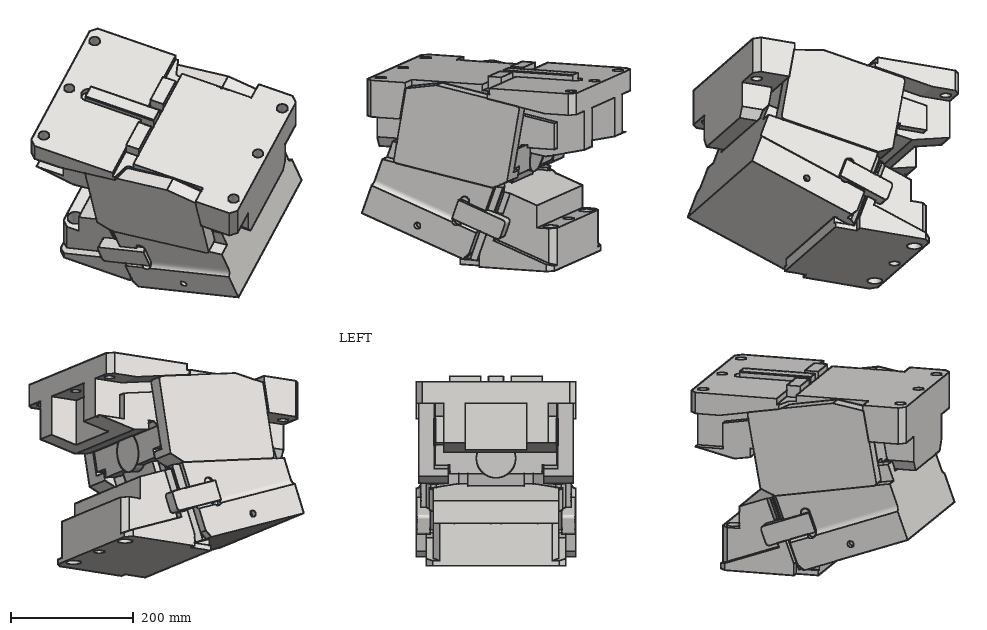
import cadquery as cq
import math

WIDTH = 260.0
HALF_WIDTH = WIDTH / 2
TOP_Z = 300.0
KEY_TOP_Z = 309.0
TIP_X, TIP_Z = 372, 79.0
RAIL_X, RAIL_Z = 117.5, 145.5
RAIL_ANGLE = 10
BASE_ANGLE = 20
REACH = 446.5
OVERLAP = 3.7


def tilt_planes(angle, x, z):
    """Side plane (normal -Y), plan plane (normal up) and end plane (normal along the tilt)."""
    c = math.cos(math.radians(angle))
    s = math.sin(math.radians(angle))
    side = cq.Plane(origin=(x, 0, z), xDir=(c, 0, s), normal=(0, -1, 0))
    plan = cq.Plane(origin=(x, 0, z), xDir=(c, 0, s), normal=(-s, 0, c))
    end = cq.Plane(origin=(x, 0, z), xDir=(0, 1, 0), normal=(c, 0, s))
    return side, plan, end


RAIL_SIDE, _, RAIL_END = tilt_planes(RAIL_ANGLE, RAIL_X, RAIL_Z)
BASE_SIDE, BASE_PLAN, BASE_END = tilt_planes(BASE_ANGLE, TIP_X, TIP_Z)


def slab(plane, points, half_width):
    """Side outline extruded evenly to both sides of the middle plane."""
    return cq.Workplane(plane).polyline(points).close().extrude(half_width, both=True)


def tilted_box(plane, a0, a1, b0, b1, half_width):
    return slab(plane, [(a0, b0), (a1, b0), (a1, b1), (a0, b1)], half_width)


def box(x0, x1, y0, y1, z0, z1):
    return cq.Workplane("XY").box(x1 - x0, y1 - y0, z1 - z0, centered=False).translate((x0, y0, z0))


def both_sides(solid):
    return solid.union(solid.mirror("XZ"))


def side_pair(solid, inner):
    """Keep only the parts of a slab that lie further out than inner."""
    return solid.cut(cq.Workplane("XY").box(3 * REACH, 2 * inner, 3 * REACH))


def on_side(plane, a, b):
    """X and Z of a point given in a tilted side plane."""
    p = plane.toWorldCoords((a, b))
    return (p.x, p.z)


def on_rail_face(along, z):
    """X and Z of the point at height z on a face square to the rail."""
    angle = math.radians(RAIL_ANGLE)
    height = (z - RAIL_Z - along * math.sin(angle)) / math.cos(angle)
    return on_side(RAIL_SIDE, along, height)


PLATE_FRONT, PLATE_REAR = 2.0, 201
PLATE_TOP, PLATE_BOTTOM = 128.7, -15.3
PLATE_INNER, PLATE_OUTER = 101.0, 126.0
PLATE_PEAK = 150.3
PLATE_REAR_TOP = 111.0
PLATE_TOE = 25.0
PLATE_GAP = 0.5
HOOK_TOP = 12.5
HOOK_INNER = 78
HEAD_HALF, HEAD_BOTTOM, HEAD_TOP = 98.5, 18.2, 108.5
WEB_HALF, WEB_BOTTOM = 75.0, 4.0
NECK_HALF = 85.2
RAIL_FRONT, RAIL_REAR = 3.0, 199.0
SPRING_RADIUS, SPRING_HEIGHT = 32.0, 29.5
SPRING_PROUD = 0.7

HOLDER_LENGTH = 366.0
CORNER = 10.0
FLANGE_FRONT_Z = 264.5
FLANGE_REAR_Z = 239.2
LEG_DEPTH = 47.3
LEG_FRONT_Z = 200.0
LIP_X, LIP_Z = 67, 185.0
LIP_REAR_X, LIP_REAR_Z = 94.0, 189.5
STEP_X, STEP_Z = 104, 204.3
STEP_CHAMFER_Z = 197.2
POCKET_HALF = 50.2
NOTCH_FRONT_X, NOTCH_REAR_X = 152.5, 295.8
NOTCH_INNER = 100.0
NOTCH_TAPER_X = 162.0
NOTCH_FILLET = 6.7
REAR_BLOCK_FRONT = 208.7
REAR_BLOCK_Z = 180.0
REAR_BLOCK_HALF = 76.5
REAR_BLOCK_CHAMFER_Z, REAR_BLOCK_CHAMFER_Y = 16.7, 9.5
KEYWAY_X0, KEYWAY_X1, KEYWAY_Z = 148.5, 172.5, 290.0
KEY_GAP = 0.7
KEY_Y0, KEY_Y1 = 24.5, 75.5
BAR_X0, BAR_X1, BAR_HALF = 49.0, 170.8, 12.3
BAR_CHAMFER = 1.5
SLOT_X0 = 37.5
BOLT_DIAMETER, DOWEL_DIAMETER = 17.5, 16.7
FRONT_BOLT_X, FRONT_BOLT_Y = 15.5, 104.5
REAR_BOLT_X, REAR_BOLT_Y = 350.5, 100.0


def holder_core():
    """Legs, neck and rail, from the front face to the rear end of the rail."""
    rail_outline = [
        (0, TOP_Z),
        (0, LEG_FRONT_Z),
        (LIP_X, LIP_Z),
        (LIP_REAR_X, LIP_REAR_Z),
        (LIP_REAR_X, STEP_Z),
        (STEP_X, STEP_Z),
        on_rail_face(RAIL_FRONT, STEP_CHAMFER_Z),
        on_side(RAIL_SIDE, RAIL_FRONT, HEAD_BOTTOM),
        on_side(RAIL_SIDE, RAIL_REAR, HEAD_BOTTOM),
        on_side(RAIL_SIDE, RAIL_REAR, PLATE_REAR_TOP),
        (NOTCH_REAR_X, TOP_Z),
    ]
    core = slab("XZ", rail_outline, HEAD_HALF)
    above_head = tilted_box(RAIL_SIDE, -REACH, REACH, HEAD_TOP, REACH, REACH)
    beside_leg = box(-OVERLAP, LEG_DEPTH, -REACH, REACH, LEG_FRONT_Z, REACH)
    core = core.cut(side_pair(above_head, NECK_HALF)).cut(side_pair(beside_leg, NECK_HALF))
    core = core.cut(box(-OVERLAP, LIP_REAR_X, NECK_HALF, REACH, 0, LEG_FRONT_Z))
    core = core.cut(box(-OVERLAP, LEG_DEPTH, -POCKET_HALF, POCKET_HALF, 0, FLANGE_FRONT_Z))
    web = tilted_box(RAIL_SIDE, RAIL_FRONT, RAIL_REAR, WEB_BOTTOM, HEAD_BOTTOM + OVERLAP, WEB_HALF)
    return core.union(web).union(spring_barrel(RAIL_FRONT - SPRING_PROUD))


def spring_barrel(front):
    """Cylinder along the rail, bulging out below the web."""
    return (
        cq.Workplane(RAIL_END)
        .workplane(offset=front)
        .center(0, SPRING_HEIGHT)
        .circle(SPRING_RADIUS)
        .extrude(RAIL_REAR - front)
    )


def holder_flange():
    """Mounting plate across the full width."""
    rise = math.tan(math.radians(RAIL_ANGLE))
    crest_x, crest_z = on_side(RAIL_SIDE, PLATE_PEAK, PLATE_TOP)
    bend_x = crest_x - (crest_z - FLANGE_FRONT_Z) / rise
    outline = [
        (0, TOP_Z),
        (0, FLANGE_FRONT_Z),
        (bend_x, FLANGE_FRONT_Z),
        (crest_x, crest_z),
        on_side(RAIL_SIDE, PLATE_REAR + PLATE_GAP, PLATE_REAR_TOP),
        on_rail_face(PLATE_REAR + PLATE_GAP, FLANGE_REAR_Z),
        (HOLDER_LENGTH, FLANGE_REAR_Z),
        (HOLDER_LENGTH, TOP_Z),
    ]
    flange = slab("XZ", outline, HALF_WIDTH).edges("|Z and (<X or >X)").chamfer(CORNER)
    middle = box(NOTCH_FRONT_X, NOTCH_REAR_X, -HEAD_HALF, HEAD_HALF, FLANGE_FRONT_Z, TOP_Z)
    return flange.union(middle)


def side_notch():
    """Opening in the flange that clears a side plate of the slide."""
    outline = [
        (NOTCH_FRONT_X, -HALF_WIDTH),
        (NOTCH_TAPER_X, -NOTCH_INNER),
        (NOTCH_REAR_X, -NOTCH_INNER),
        (NOTCH_REAR_X, -HALF_WIDTH - OVERLAP),
        (NOTCH_FRONT_X, -HALF_WIDTH - OVERLAP),
    ]
    notch = cq.Workplane("XY").polyline(outline).close().extrude(TOP_Z)
    corner = cq.selectors.NearestToPointSelector((NOTCH_TAPER_X, -NOTCH_INNER, TOP_Z / 2))
    return notch.edges(corner).fillet(NOTCH_FILLET)


def rear_block():
    """Stop block under the rear of the flange, with bevelled lower sides."""
    top_z = FLANGE_REAR_Z + OVERLAP
    outline = [
        on_rail_face(REAR_BLOCK_FRONT, top_z),
        on_rail_face(REAR_BLOCK_FRONT, REAR_BLOCK_Z),
        (HOLDER_LENGTH, REAR_BLOCK_Z),
        (HOLDER_LENGTH, top_z),
    ]
    bevel_half = REAR_BLOCK_HALF - REAR_BLOCK_CHAMFER_Y
    bevel_z = REAR_BLOCK_Z + REAR_BLOCK_CHAMFER_Z
    section = [
        (-REAR_BLOCK_HALF, top_z),
        (-REAR_BLOCK_HALF, bevel_z),
        (-bevel_half, REAR_BLOCK_Z),
        (bevel_half, REAR_BLOCK_Z),
        (REAR_BLOCK_HALF, bevel_z),
        (REAR_BLOCK_HALF, top_z),
    ]
    bevelled = cq.Workplane("YZ").polyline(section).close().extrude(HOLDER_LENGTH)
    return slab("XZ", outline, REAR_BLOCK_HALF).intersect(bevelled)


def keys():
    """Two cross keys and the long middle key."""
    cross = box(KEYWAY_X0 + KEY_GAP, KEYWAY_X1 - KEY_GAP, KEY_Y0, KEY_Y1, KEYWAY_Z, KEY_TOP_Z)
    bar = box(BAR_X0, BAR_X1, -BAR_HALF, BAR_HALF, KEYWAY_Z, KEY_TOP_Z)
    return both_sides(cross).union(bar.edges(">Z and |X").chamfer(BAR_CHAMFER))


def make_holder():
    holder = holder_flange().union(holder_core()).union(rear_block())
    holder = holder.cut(both_sides(side_notch()))
    holder = holder.cut(box(KEYWAY_X0, KEYWAY_X1, -REACH, REACH, KEYWAY_Z, REACH))
    slot_length = BAR_X1 - SLOT_X0
    slot = (
        cq.Workplane("XY", origin=((SLOT_X0 + BAR_X1) / 2, 0, KEYWAY_Z))
        .slot2D(slot_length, 2 * BAR_HALF)
        .extrude(REACH)
    )
    holder = holder.cut(slot).union(keys())
    for x, side_y in ((FRONT_BOLT_X, FRONT_BOLT_Y), (REAR_BOLT_X, REAR_BOLT_Y)):
        for y, diameter in ((-side_y, BOLT_DIAMETER), (0, DOWEL_DIAMETER), (side_y, BOLT_DIAMETER)):
            flange_hole = cq.Workplane("XY", origin=(x, y, FLANGE_REAR_Z)).circle(diameter / 2)
            holder = holder.cut(flange_hole.extrude(REACH))
    return holder


BASE_FRONT_X, BASE_REAR_X = 45.0, 211.0
BASE_CORE_HALF, BASE_FLANGE_HALF = 102.0, 114.0
LEDGE_X, LEDGE_Z = 76.3, 69.2
BASE_CORNER = 10.5
FLANGE_TOP, FLANGE_REAR_X = 45.5, 173.0
FLANGE_STEP = -222.0
POST_FRONT, POST_REAR = -218.8, -207.2
POST_CHAMFER, POST_HALF = 8.0, 109.0
POST_TOP = 127.0
RIDGE_HALF, RIDGE_REAR = 60.5, -188.0
RIDGE_NOTCH_HALF, RIDGE_NOTCH_REAR = 45.8, -198.5
FOOT_Z, FOOT_HALF = 8.5, 102.0
HEEL_Z, HEEL_HALF = 20.0, 96.7
BASE_BOLT_X, BASE_BOLT_Y = 60.5, 80.0
BASE_BOLT_DIAMETER, BASE_DOWEL_DIAMETER = 24.5, 17.5

SLIDE_FRONT = -205.0
SKIRT_FRONT, SKIRT_INNER = -195.5, 114.0
NOSE_HALF, NOSE_LENGTH = 106.5, 29.8
SKIRT_CHAMFER_LENGTH, SKIRT_CHAMFER_HEIGHT = 6.7, 12.5
GROOVE_TOP, GROOVE_RADIUS, GROOVE_Y = 59.5, 9.5, 132.0
UPPER_HALF = 122.5
CLAMP_FRONT, CLAMP_REAR = -236.0, -147.7
CLAMP_BOTTOM, CLAMP_TOP = 55.0, 88.5
CLAMP_INNER, CLAMP_OUTER = 107.0, 129.0
CLAMP_FILLET, CLAMP_CLEARANCE = 5.5, 1.0
RELIEF_RADIUS, RELIEF_INSET, RELIEF_Y = 7.8, 8.5, 119
PIN_HOLE_X, PIN_HOLE_Z, PIN_HOLE_DIAMETER, PIN_HOLE_DEPTH = 274.5, 64.7, 10.5, 11
PLATE_FILLET = 5.5


def base_rear_limit():
    """Space in front of the slide: side posts, a tapered ridge and its middle notch."""
    half = [
        (POST_REAR, -BASE_FLANGE_HALF),
        (POST_REAR, -BASE_CORE_HALF),
        (RIDGE_REAR, -RIDGE_HALF),
        (RIDGE_REAR, -RIDGE_NOTCH_HALF),
        (RIDGE_NOTCH_REAR, -RIDGE_NOTCH_HALF),
    ]
    mirrored = [(s, -y) for s, y in reversed(half)]
    front = [(-REACH, BASE_FLANGE_HALF), (-REACH, -BASE_FLANGE_HALF)]
    return cq.Workplane(BASE_PLAN).polyline(half + mirrored + front).close().extrude(REACH, both=True)


def base_flanges():
    """Side flanges under a sloped line, and a post above the clamps."""
    low = tilted_box(BASE_SIDE, -REACH, POST_REAR, -REACH, FLANGE_TOP, BASE_FLANGE_HALF)
    clamp_floor = CLAMP_BOTTOM - CLAMP_CLEARANCE
    step = tilted_box(BASE_SIDE, FLANGE_STEP, POST_REAR, 0, clamp_floor, BASE_FLANGE_HALF)
    plan = [
        (POST_FRONT, -BASE_CORE_HALF),
        (POST_FRONT + POST_CHAMFER, -POST_HALF),
        (POST_REAR, -POST_HALF),
        (POST_REAR, POST_HALF),
        (POST_FRONT + POST_CHAMFER, POST_HALF),
        (POST_FRONT, BASE_CORE_HALF),
    ]
    post_bottom = CLAMP_TOP + CLAMP_CLEARANCE
    post = (
        cq.Workplane(BASE_PLAN)
        .workplane(offset=post_bottom)
        .polyline(plan)
        .close()
        .extrude(POST_TOP - post_bottom)
    )
    return low.union(step).union(side_pair(post, BASE_CORE_HALF - OVERLAP))


def make_base():
    ramp_rear_x, ramp_rear_z = on_side(BASE_SIDE, 0, POST_TOP)
    ramp_front_z = ramp_rear_z - (ramp_rear_x - LEDGE_X) * math.tan(math.radians(BASE_ANGLE))
    core_outline = [
        (BASE_FRONT_X, 0),
        (BASE_FRONT_X, LEDGE_Z),
        (LEDGE_X, LEDGE_Z),
        (LEDGE_X, ramp_front_z),
        (ramp_rear_x, ramp_rear_z),
        (TIP_X, 0),
    ]
    corners = "|Z and <X"
    core = slab("XZ", core_outline, BASE_CORE_HALF).edges(corners).chamfer(BASE_CORNER)
    lower = box(BASE_FRONT_X, FLANGE_REAR_X, -BASE_FLANGE_HALF, BASE_FLANGE_HALF, 0, REACH)
    flanges = lower.edges(corners).chamfer(BASE_CORNER).intersect(base_flanges())
    base = core.union(flanges).intersect(base_rear_limit())
    foot = box(LEDGE_X, BASE_REAR_X, -FOOT_HALF, FOOT_HALF, 0, FOOT_Z)
    heel = box(LEDGE_X, BASE_REAR_X, -HEEL_HALF, HEEL_HALF, 0, HEEL_Z)
    base = base.union(foot).union(heel)
    sizes = ((-BASE_BOLT_Y, BASE_BOLT_DIAMETER), (0, BASE_DOWEL_DIAMETER), (BASE_BOLT_Y, BASE_BOLT_DIAMETER))
    for y, diameter in sizes:
        base = base.cut(cq.Workplane("XY").center(BASE_BOLT_X, y).circle(diameter / 2).extrude(LEDGE_Z))
    return base


def front_relief():
    """Set the skirts back from the nose of the slide, with bevelled flanks and lower corners."""
    plan = [
        (SLIDE_FRONT, -NOSE_HALF),
        (SKIRT_FRONT, -SKIRT_INNER),
        (SKIRT_FRONT, -REACH),
        (SLIDE_FRONT, -REACH),
    ]
    setback = cq.Workplane(BASE_PLAN).polyline(plan).close().extrude(REACH)
    corner = [
        (SKIRT_FRONT, 0),
        (SKIRT_FRONT + SKIRT_CHAMFER_LENGTH, 0),
        (SKIRT_FRONT, SKIRT_CHAMFER_HEIGHT),
    ]
    bevel = side_pair(slab(BASE_SIDE, corner, REACH), SKIRT_INNER)
    return both_sides(setback).union(bevel)


def slide_block():
    """Tilted lower body with a round groove along each side."""
    below_cap = tilted_box(RAIL_SIDE, -REACH, REACH, -REACH, PLATE_BOTTOM, REACH)
    body = tilted_box(BASE_SIDE, SLIDE_FRONT, 0, 0, GROOVE_TOP, HALF_WIDTH)
    upper = tilted_box(BASE_SIDE, SLIDE_FRONT, 0, GROOVE_TOP, REACH, UPPER_HALF).intersect(below_cap)
    groove = (
        cq.Workplane(BASE_END)
        .pushPoints([(-GROOVE_Y, GROOVE_TOP), (GROOVE_Y, GROOVE_TOP)])
        .circle(GROOVE_RADIUS)
        .extrude(-REACH)
    )
    return body.cut(groove).union(upper).cut(front_relief()).cut(base_rear_limit())


def slide_cap():
    """Top of the block, under the rail, with a channel for the web and the spring barrel."""
    outline = [
        (PLATE_FRONT, 0),
        (PLATE_FRONT, HOOK_TOP),
        (REACH, HOOK_TOP),
        (REACH, PLATE_BOTTOM),
        (PLATE_TOE, PLATE_BOTTOM),
    ]
    cap = slab(RAIL_SIDE, outline, PLATE_INNER)
    cap = cap.intersect(tilted_box(BASE_SIDE, -REACH, 0, -REACH, REACH, REACH))
    cap = cap.cut(tilted_box(BASE_SIDE, -REACH, SLIDE_FRONT, -REACH, REACH, HOOK_INNER))
    nose_rear = SLIDE_FRONT + NOSE_LENGTH
    cap = cap.union(tilted_box(BASE_SIDE, SLIDE_FRONT, nose_rear, GROOVE_TOP, REACH, HOOK_INNER))
    cap = cap.cut(tilted_box(RAIL_SIDE, -REACH, PLATE_REAR, WEB_BOTTOM, REACH, HOOK_INNER))
    middle = cq.Workplane("XY").box(2 * REACH, 2 * HOOK_INNER, 2 * REACH)
    cap = cap.cut(base_rear_limit().intersect(middle))
    rear_x = on_side(RAIL_SIDE, PLATE_REAR, 0)[0]
    cap = cap.cut(box(rear_x, REACH, -HOOK_INNER, HOOK_INNER, REAR_BLOCK_Z, REACH))
    return cap.cut(spring_barrel(0))


def slide_plates():
    """Plates on both sides of the rail."""
    outline = [
        (PLATE_FRONT, PLATE_TOP),
        (PLATE_PEAK, PLATE_TOP),
        (PLATE_REAR, PLATE_REAR_TOP),
        (PLATE_REAR, PLATE_BOTTOM),
        (PLATE_TOE, PLATE_BOTTOM),
        (PLATE_FRONT, 0),
    ]
    plates = slab(RAIL_SIDE, outline, PLATE_OUTER)
    for corner in ((PLATE_FRONT, PLATE_TOP), (PLATE_REAR, PLATE_BOTTOM)):
        edge = cq.selectors.NearestToPointSelector(RAIL_SIDE.toWorldCoords(corner).toTuple())
        plates = plates.edges("|Y").edges(edge).fillet(PLATE_FILLET)
    return side_pair(plates, PLATE_INNER)


def clamps():
    """Side blocks of the slide that reach forward over the base."""
    bar = tilted_box(BASE_SIDE, CLAMP_FRONT, CLAMP_REAR, CLAMP_BOTTOM, CLAMP_TOP, CLAMP_OUTER)
    front = cq.selectors.DirectionMinMaxSelector(BASE_SIDE.xDir, False)
    bar = bar.faces(front).edges("|Y").fillet(CLAMP_FILLET)
    return side_pair(bar, CLAMP_INNER)


def make_slide(base):
    slide = slide_block().union(slide_cap()).union(slide_plates())
    reliefs = (
        cq.Workplane(BASE_SIDE)
        .pushPoints([(CLAMP_REAR - RELIEF_INSET, t) for t in (CLAMP_BOTTOM, CLAMP_TOP)])
        .circle(RELIEF_RADIUS)
        .extrude(REACH, both=True)
    )
    slide = slide.cut(side_pair(reliefs, RELIEF_Y)).union(clamps())
    pin_holes = (
        cq.Workplane("XZ")
        .center(PIN_HOLE_X, PIN_HOLE_Z)
        .circle(PIN_HOLE_DIAMETER / 2)
        .extrude(REACH, both=True)
    )
    slide = slide.cut(side_pair(pin_holes, HALF_WIDTH - PIN_HOLE_DEPTH))
    return slide.cut(base)


holder = make_holder()
base = make_base()
slide = make_slide(base)

result = cq.Compound.makeCompound([holder.val(), base.val(), slide.val()])